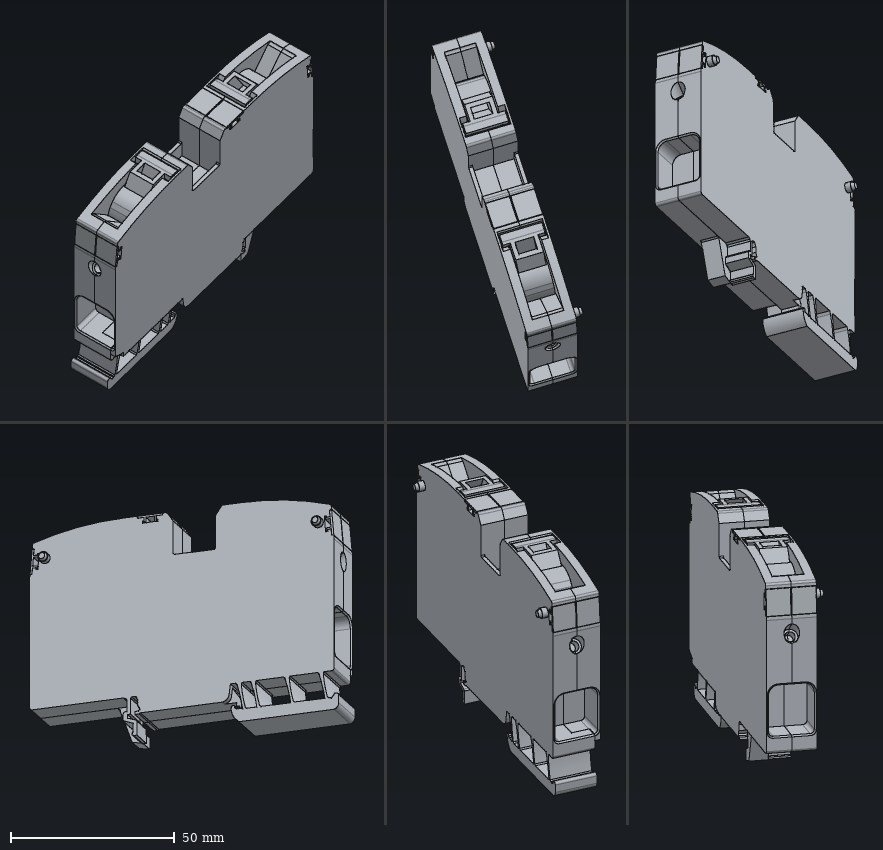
import cadquery as cq
import math


WIDTH = 16.0
LENGTH = 99.5
TOP_Z = 71.1
BASE_Z = 12.6
MID_X = WIDTH / 2
MID_Y = LENGTH / 2

END_TILT = 5.0
SHOULDER_Z = 55.3
CORNER_Z = 66.6
CORNER_IN = (CORNER_Z - SHOULDER_Z) * math.tan(math.radians(END_TILT))
CORNER_RADIUS = 0.8
CROWN_START = 30.3
CROWN_RUN = CROWN_START - CORNER_IN
CROWN_DROP = TOP_Z - CORNER_Z
CROWN_RADIUS = (CROWN_RUN**2 + CROWN_DROP**2) / (2 * CROWN_DROP)
BASE_RADIUS = 0.8

NOTCH_FRONT = 38.8
NOTCH_BACK = 52.5
NOTCH_Z = 57.0
NOTCH_CHAMFER_Y = 2.1
NOTCH_CHAMFER_Z = 3.1
NOTCH_EDGE_RADIUS = 1.0
NOTCH_RIM = 1.3
RIM_CHAMFER = 0.4
NOTCH_WELL = 5.7

BOSS_Z = 7.1
FOOT_WIDTH = 14.0
FOOT_FLOOR_Z = 4.0
CLAW_START = 2.0
STRUT_Y = [4.2, 15.3, 26.4, 31.0]
SILL_DEPTH = 3.9
RELIEF_Z = 15.9
RELIEF_SLOPE = 1.5

ENTRY_WIDTH = 14.3
ENTRY_BOTTOM = 18.1
ENTRY_TOP = 34.3
ENTRY_DEPTH = 9.9
ENTRY_TOP_RADIUS = 3.0
ENTRY_BOTTOM_RADIUS = 1.3
ENTRY_LIP = 0.5
SCREW_Z = 50.6
SCREW_TILT = 37.0
SCREW_HEAD_DIA = 4.8
SCREW_HEAD_DEPTH = 2.8
SCREW_DIA = 3.2
SCREW_DEPTH = 6.1

POCKET_WIDTH = 10.0
POCKET_FRONT = 4.8
POCKET_LIP_Z = 67.6
POCKET_RAMP_Z = 60.3
POCKET_FLOOR = 58.6
POCKET_BACK = 32.7
YOKE_WIDTH = 14.4
YOKE_FRONT = 27.4
YOKE_BACK = 33.8
YOKE_FLOOR = 68.6
YOKE_RAMP = 1.8
YOKE_CHAMFER = 0.5
DRUM_FRONT = 12.9
DRUM_WIDTH = 9.8
DRUM_TOP_Y = 20.7
DRUM_TOP_Z = 66.6
STEM_WIDTH = 8.9
STEM_FRONT = 23.6
BAR_WIDTH = 13.6
BAR_FRONT = 29.3
SLOT_WIDTH = 6.0
SLOT_FRONT = 25.2
SLOT_BACK = 29.1
SLOT_DEPTH = 8.1
SLOT_LEAN = 4.3

MARKER_LENGTH = 8.5
MARKER_THICKNESS = 0.7
MARKER_EDGE_GAP = 0.1
MARKER_MID_GAP = 0.3
MARKER_WIDTH = MID_X - MARKER_EDGE_GAP - MARKER_MID_GAP / 2
MARKER_BEVEL = 0.3
LEG_REACH = 2.0
LEG_THICKNESS = 0.6
LEG_DEPTH = 2.3
HOOK = 0.25
HOOK_DEPTH = 1.9
SEAT_DEPTH = 2.5
SEAT_REACH = 2.5
END_MARKER_Z = 60.8
TOP_MARKER_Y = 60.1

PIN_Y = 5.1
PIN_Z = 61.2
PIN_RADIUS = 1.6
PIN_SHOULDER = 1.9
PIN_LENGTH = 3.0
PIN_NOSE_RADIUS = 1.4
PIN_TIP_RADIUS = 1.0


def slab(points, x_from, x_to):
    """Prism over a closed YZ outline between two X positions."""
    return cq.Workplane("YZ", origin=(x_from, 0, 0)).polyline(points).close().extrude(x_to - x_from)


def centred_slab(points, width):
    return slab(points, MID_X - width / 2, MID_X + width / 2)


def block(x_from, x_to, y_from, y_to, z_from, z_to):
    size = (x_to - x_from, y_to - y_from, z_to - z_from)
    return cq.Workplane("XY").box(*size, centered=False).translate((x_from, y_from, z_from))


def mirrored(body):
    """Copy of a front-end body at the back end."""
    return body.mirror("XZ", (0, MID_Y, 0))


def crown_z(y):
    """Height of the crown surface over the front tower."""
    run = max(CROWN_START - y, 0)
    return TOP_Z - CROWN_RADIUS + math.sqrt(CROWN_RADIUS**2 - run**2)


def housing_block():
    mid_run = (CORNER_IN + CROWN_START) / 2
    outline = (
        cq.Workplane("YZ")
        .moveTo(0, BASE_Z)
        .lineTo(0, SHOULDER_Z)
        .lineTo(CORNER_IN, CORNER_Z)
        .threePointArc((mid_run, crown_z(mid_run)), (CROWN_START, TOP_Z))
        .lineTo(LENGTH - CROWN_START, TOP_Z)
        .threePointArc((LENGTH - mid_run, crown_z(mid_run)), (LENGTH - CORNER_IN, CORNER_Z))
        .lineTo(LENGTH, SHOULDER_Z)
        .lineTo(LENGTH, BASE_Z)
        .close()
    )
    body = outline.extrude(WIDTH)
    corners = cq.selectors.BoxSelector((0, -1, CORNER_Z - 1), (WIDTH, LENGTH + 1, CORNER_Z + 1))
    body = body.edges("|X").edges(corners).fillet(CORNER_RADIUS)
    return body.faces("<Z").edges("|X").fillet(BASE_RADIUS)


def notch_cutter():
    shoulder_z = TOP_Z - NOTCH_CHAMFER_Z
    opening = slab(
        [
            (NOTCH_FRONT + RIM_CHAMFER, NOTCH_Z),
            (NOTCH_FRONT, NOTCH_Z + RIM_CHAMFER),
            (NOTCH_FRONT, shoulder_z),
            (NOTCH_FRONT - NOTCH_CHAMFER_Y, TOP_Z),
            (NOTCH_BACK + NOTCH_CHAMFER_Y, TOP_Z),
            (NOTCH_BACK, shoulder_z),
            (NOTCH_BACK, NOTCH_Z + RIM_CHAMFER),
            (NOTCH_BACK - RIM_CHAMFER, NOTCH_Z),
        ],
        0,
        WIDTH,
    )
    well = block(
        NOTCH_RIM, WIDTH - NOTCH_RIM, NOTCH_FRONT, NOTCH_BACK, NOTCH_Z - NOTCH_WELL, shoulder_z
    )
    return opening.union(well)


def entry_sketch(grow):
    height = ENTRY_TOP - ENTRY_BOTTOM + 2 * grow
    return (
        cq.Sketch()
        .rect(ENTRY_WIDTH + 2 * grow, height)
        .vertices(">Y")
        .fillet(ENTRY_TOP_RADIUS + grow)
        .reset()
        .vertices("<Y")
        .fillet(ENTRY_BOTTOM_RADIUS + grow)
    )


def entry_cutter():
    """Wire funnel with a 45 degree lip."""
    middle = (MID_X, 0, (ENTRY_TOP + ENTRY_BOTTOM) / 2)
    mouth = cq.Plane(origin=middle, xDir=(-1, 0, 0), normal=(0, 1, 0))
    funnel = cq.Workplane(mouth).placeSketch(entry_sketch(0)).extrude(ENTRY_DEPTH)
    lip = cq.Workplane(mouth).placeSketch(entry_sketch(ENTRY_LIP)).extrude(ENTRY_LIP, taper=45)
    return funnel.union(lip)


def screw_cutter():
    """Counterbored hole that runs inwards and down."""
    tilt = math.radians(SCREW_TILT)
    axis = (0, math.cos(tilt), -math.sin(tilt))
    mouth = cq.Plane(origin=(MID_X, 0, SCREW_Z), xDir=(1, 0, 0), normal=axis)
    outside = SCREW_HEAD_DIA
    head = (
        cq.Workplane(mouth)
        .workplane(offset=-outside)
        .circle(SCREW_HEAD_DIA / 2)
        .extrude(outside + SCREW_HEAD_DEPTH)
    )
    shank = cq.Workplane(mouth).circle(SCREW_DIA / 2).extrude(SCREW_DEPTH)
    return head.union(shank)


def lever_pocket():
    above = TOP_Z + 1
    well = (
        cq.Workplane("YZ", origin=(MID_X - POCKET_WIDTH / 2, 0, 0))
        .moveTo(POCKET_FRONT, above)
        .lineTo(POCKET_FRONT, POCKET_LIP_Z)
        .threePointArc((5.3, 67.2), (6.0, 67.0))
        .lineTo(DRUM_FRONT, POCKET_RAMP_Z)
        .lineTo(DRUM_FRONT, POCKET_FLOOR)
        .lineTo(POCKET_BACK, POCKET_FLOOR)
        .lineTo(POCKET_BACK, above)
        .close()
        .extrude(POCKET_WIDTH)
    )
    yoke = centred_slab(
        [
            (YOKE_FRONT, above),
            (YOKE_FRONT, crown_z(YOKE_FRONT)),
            (YOKE_FRONT + YOKE_RAMP, YOKE_FLOOR),
            (YOKE_BACK - YOKE_CHAMFER, YOKE_FLOOR),
            (YOKE_BACK - YOKE_CHAMFER, TOP_Z - YOKE_CHAMFER),
            (YOKE_BACK, TOP_Z),
            (YOKE_BACK, above),
        ],
        YOKE_WIDTH,
    )
    return well.union(yoke)


def boss(x_from, x_to):
    """Middle boss between the rail edges, with the snap nose at its back."""
    outline = (
        cq.Workplane("YZ", origin=(x_from, 0, 0))
        .moveTo(33.8, BASE_Z)
        .lineTo(34.2, 9.6)
        .threePointArc((34.8, 8.0), (36.5, BOSS_Z))
        .lineTo(63.2, BOSS_Z)
        .lineTo(63.6, 6.8)
        .lineTo(65.0, 6.8)
        .lineTo(65.0, 7.7)
        .lineTo(63.9, 7.8)
        .lineTo(63.4, 8.3)
        .lineTo(64.1, 9.5)
        .lineTo(64.1, 11.4)
        .lineTo(64.8, BASE_Z)
        .close()
    )
    return outline.extrude(x_to - x_from)


def strut(y):
    """Leaning spring strut that carries the rail foot, flared at its top."""
    outline = (
        cq.Workplane("YZ")
        .moveTo(y + 1.1, BASE_Z)
        .lineTo(y + 0.6, 11.7)
        .threePointArc((y - 0.4, 8.1), (y - 1.1, FOOT_FLOOR_Z))
        .lineTo(y - 2.4, FOOT_FLOOR_Z)
        .lineTo(y - 2.0, 4.4)
        .threePointArc((y - 1.2, 8.1), (y - 0.7, 12.1))
        .lineTo(y - 1.0, BASE_Z)
        .close()
    )
    return outline.extrude(FOOT_WIDTH)


def rail_foot():
    cap = (
        cq.Workplane("YZ")
        .moveTo(31.1, 0)
        .lineTo(0, 0)
        .threePointArc((-1.0, 0.6), (-1.5, 1.9))
        .lineTo(-1.5, 4.4)
        .threePointArc((-1.2, 5.0), (-0.6, 5.3))
        .lineTo(-0.1, 5.3)
        .lineTo(0.2, 4.5)
        .lineTo(0.9, 3.7)
        .lineTo(1.4, FOOT_FLOOR_Z)
        .lineTo(29.9, FOOT_FLOOR_Z)
        .lineTo(30.3, 4.3)
        .lineTo(32.0, 4.3)
        .lineTo(32.4, 4.7)
        .lineTo(32.6, 5.5)
        .lineTo(33.3, 5.5)
        .lineTo(33.6, 4.9)
        .threePointArc((32.7, 1.7), (31.1, 0))
        .close()
        .extrude(FOOT_WIDTH)
    )
    for y in STRUT_Y:
        cap = cap.union(strut(y))
    return cap


def latch_leg():
    """Bent spring leg behind the boss."""
    return slab(
        [
            (68.8, BASE_Z),
            (68.0, 12.2),
            (67.6, 11.6),
            (67.6, 8.1),
            (68.4, 8.1),
            (69.0, 7.4),
            (69.0, 5.3),
            (65.6, 4.0),
            (65.6, 1.2),
            (65.9, 0.9),
            (65.9, 0.3),
            (65.4, 0),
            (64.3, 0),
            (64.3, 4.6),
            (64.9, 5.0),
            (67.4, 5.9),
            (67.4, 7.1),
            (66.4, 7.1),
            (66.4, 12.2),
            (66.0, BASE_Z),
        ],
        0,
        MID_X,
    )


def rail_claw():
    """Claw at the front of the boss that hooks over the rail foot slot."""
    return slab(
        [
            (34.0, 12.1),
            (31.4, 8.4),
            (31.1, 7.6),
            (31.0, 5.3),
            (31.5, 4.9),
            (31.8, 6.0),
            (32.6, 6.0),
            (32.6, BOSS_Z),
            (36.9, BOSS_Z),
            (36.9, 12.1),
        ],
        CLAW_START,
        MID_X,
    )


def latch_wedge():
    """Wedge that backs up the spring leg."""
    return slab(
        [
            (73.7, BASE_Z),
            (73.1, 12.2),
            (69.1, 1.0),
            (65.4, 0.2),
            (65.4, 4.0),
            (67.6, 5.0),
            (67.6, BASE_Z),
        ],
        MID_X,
        FOOT_WIDTH,
    )


def coupling_pin():
    return (
        cq.Workplane("XY", origin=(0, PIN_Y, PIN_Z))
        .polyline(
            [
                (0, 0),
                (0, PIN_RADIUS),
                (-PIN_SHOULDER, PIN_RADIUS),
                (-PIN_SHOULDER, PIN_NOSE_RADIUS),
                (-PIN_LENGTH, PIN_TIP_RADIUS),
                (-PIN_LENGTH, 0),
            ]
        )
        .close()
        .revolve(360, (0, 0, 0), (1, 0, 0))
    )


def marker_plate(x_from):
    half = MARKER_LENGTH / 2
    leg_inside = LEG_REACH - LEG_THICKNESS
    x_to = x_from + MARKER_WIDTH
    plate = slab(
        [
            (-half, 0),
            (half, 0),
            (half - MARKER_BEVEL, -MARKER_THICKNESS),
            (MARKER_BEVEL - half, -MARKER_THICKNESS),
        ],
        x_from,
        x_to,
    )
    for side in (-1, 1):
        leg = [
            (side * leg_inside, -MARKER_THICKNESS),
            (side * LEG_REACH, -MARKER_THICKNESS),
            (side * LEG_REACH, -HOOK_DEPTH),
            (side * (LEG_REACH + HOOK), -HOOK_DEPTH),
            (side * LEG_REACH, -LEG_DEPTH),
            (side * leg_inside, -LEG_DEPTH),
        ]
        plate = plate.union(slab(leg, x_from, x_to))
    return plate


def marker_seat():
    half = MARKER_LENGTH / 2 + MARKER_EDGE_GAP
    recess = slab(
        [
            (-half, 1),
            (half, 1),
            (half, 0),
            (half - MARKER_BEVEL, -MARKER_THICKNESS),
            (MARKER_BEVEL - half, -MARKER_THICKNESS),
            (-half, 0),
        ],
        0,
        WIDTH,
    )
    neck = block(0, WIDTH, -LEG_REACH, LEG_REACH, -SEAT_DEPTH, -MARKER_THICKNESS)
    undercut = block(0, WIDTH, -SEAT_REACH, SEAT_REACH, -SEAT_DEPTH, -HOOK_DEPTH)
    return recess.union(neck).union(undercut)


def at_front(body):
    face_y = (END_MARKER_Z - SHOULDER_Z) * math.tan(math.radians(END_TILT))
    return body.rotate((0, 0, 0), (1, 0, 0), 90 - END_TILT).translate((0, face_y, END_MARKER_Z))


def at_back(body):
    return mirrored(at_front(body))


def on_top(body):
    return body.translate((0, TOP_MARKER_Y, TOP_Z))


MARKER_PLACES = [at_front, at_back, on_top]


def lever():
    drum = (
        cq.Workplane("YZ", origin=(MID_X - DRUM_WIDTH / 2, 0, 0))
        .moveTo(DRUM_FRONT, POCKET_FLOOR)
        .threePointArc((13.4, 61.2), (14.1, 62.7))
        .lineTo(15.3, 64.3)
        .threePointArc((17.9, 66.0), (DRUM_TOP_Y, DRUM_TOP_Z))
        .lineTo(POCKET_BACK, DRUM_TOP_Z)
        .lineTo(POCKET_BACK, POCKET_FLOOR)
        .close()
        .extrude(DRUM_WIDTH)
    )
    stem = centred_slab(
        [
            (DRUM_TOP_Y, DRUM_TOP_Z),
            (STEM_FRONT, crown_z(STEM_FRONT)),
            (STEM_FRONT, TOP_Z),
            (POCKET_BACK, TOP_Z),
            (POCKET_BACK, DRUM_TOP_Z),
        ],
        STEM_WIDTH,
    )
    bar = centred_slab(
        [
            (BAR_FRONT, YOKE_FLOOR),
            (BAR_FRONT, TOP_Z),
            (POCKET_BACK, TOP_Z),
            (POCKET_BACK, YOKE_FLOOR),
        ],
        BAR_WIDTH,
    )
    slot = centred_slab(
        [
            (SLOT_FRONT, TOP_Z),
            (SLOT_BACK, TOP_Z),
            (SLOT_BACK - SLOT_LEAN, TOP_Z - SLOT_DEPTH),
            (SLOT_FRONT - SLOT_LEAN, TOP_Z - SLOT_DEPTH),
        ],
        SLOT_WIDTH,
    )
    return drum.union(stem).union(bar).intersect(housing_block()).cut(slot)


def hollow_housing():
    body = housing_block().cut(notch_cutter())
    edge_front = NOTCH_FRONT - NOTCH_CHAMFER_Y
    edge_back = NOTCH_BACK + NOTCH_CHAMFER_Y
    notch_edges = cq.selectors.BoxSelector(
        (0, edge_front - 1, TOP_Z - 1), (WIDTH, edge_back + 1, TOP_Z + 1)
    )
    body = body.edges("|X").edges(notch_edges).fillet(NOTCH_EDGE_RADIUS)
    for cutter in (entry_cutter(), screw_cutter(), lever_pocket()):
        body = body.cut(cutter).cut(mirrored(cutter))
    for place in MARKER_PLACES:
        body = body.cut(place(marker_seat()))
    return body


def left_region():
    """Space of the left half: up to the middle plane, plus the sill under the front wire entry."""
    side = block(0, MID_X, 0, LENGTH, 0, TOP_Z)
    sill = block(MID_X, FOOT_WIDTH, 0, SILL_DEPTH, 0, ENTRY_BOTTOM)
    return side.union(sill)


def left_half(shell):
    body = shell.intersect(left_region())
    body = body.union(boss(0, MID_X)).union(rail_foot()).union(latch_leg()).union(rail_claw())
    pin = coupling_pin()
    return body.union(pin).union(mirrored(pin))


def right_half(shell):
    relief = slab(
        [
            (0, BASE_Z),
            (0, RELIEF_Z),
            (SILL_DEPTH, RELIEF_Z - RELIEF_SLOPE),
            (SILL_DEPTH, BASE_Z),
        ],
        FOOT_WIDTH,
        WIDTH,
    )
    body = shell.cut(left_region()).cut(relief)
    return body.union(boss(MID_X, WIDTH)).union(latch_wedge())


shell = hollow_housing()
left_housing = left_half(shell)
right_housing = right_half(shell)

front_lever = lever()
levers = [front_lever, mirrored(front_lever)]

markers = []
for place in MARKER_PLACES:
    for x_from in (MARKER_EDGE_GAP, MID_X + MARKER_MID_GAP / 2):
        markers.append(place(marker_plate(x_from)))

result = cq.Compound.makeCompound(
    [left_housing.val(), right_housing.val()]
    + [body.val() for body in levers]
    + [body.val() for body in markers]
)